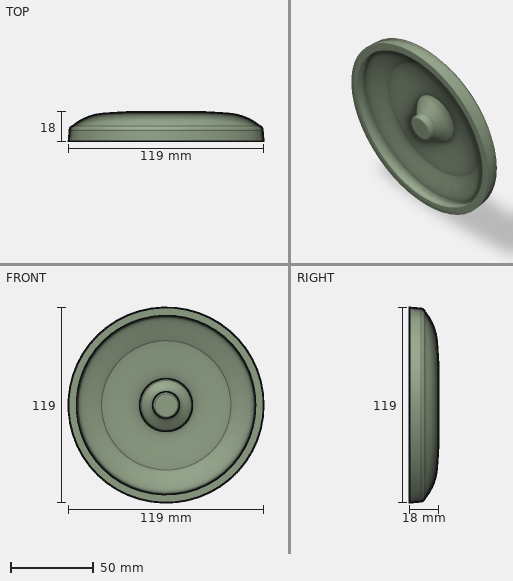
import cadquery as cq

rim_radius = 59.5
overall_depth = 18.0
skirt_radius, skirt_depth = 58.9, 6.9
shoulder_radius, shoulder_depth = 56.9, 9.4
shoulder_mid_radius, shoulder_mid_depth = 58.2, 8.6
dome_mid_radius, dome_mid_depth = 49.0, 14.3
crown_radius, crown_depth = 39.0, 16.9
crown_mid_radius, crown_mid_depth = 30.6, 17.5
top_radius = 22.0

mouth_radius = 54.5
wall_radius, wall_depth = 54.4, 6.1
slope_radius, slope_depth = 53.7, 6.9
floor_radius, floor_depth = 39.4, 12.3

foot_radius, foot_depth = 16.1, 13.9
cone_radius, cone_depth = 15.2, 12.4
neck_radius, neck_depth = 8.1, 4.9
tip_depth = 0.4
tip_round = 1.1

boss_section = (
    cq.Workplane("XY")
    .moveTo(0, tip_depth)
    .lineTo(neck_radius - tip_round, tip_depth)
    .radiusArc((neck_radius, tip_depth + tip_round), -tip_round)
    .lineTo(neck_radius, neck_depth)
    .lineTo(cone_radius, cone_depth)
    .tangentArcPoint((foot_radius, foot_depth), relative=False)
)

cavity_section = (
    boss_section
    .lineTo(floor_radius, floor_depth)
    .lineTo(slope_radius, slope_depth)
    .tangentArcPoint((wall_radius, wall_depth), relative=False)
    .lineTo(mouth_radius, 0)
)

section = (
    cavity_section
    .lineTo(rim_radius, 0)
    .lineTo(skirt_radius, skirt_depth)
    .threePointArc((shoulder_mid_radius, shoulder_mid_depth), (shoulder_radius, shoulder_depth))
    .threePointArc((dome_mid_radius, dome_mid_depth), (crown_radius, crown_depth))
    .threePointArc((crown_mid_radius, crown_mid_depth), (top_radius, overall_depth))
    .lineTo(0, overall_depth)
    .close()
)

result = section.revolve(360, (0, 0, 0), (0, 1, 0))